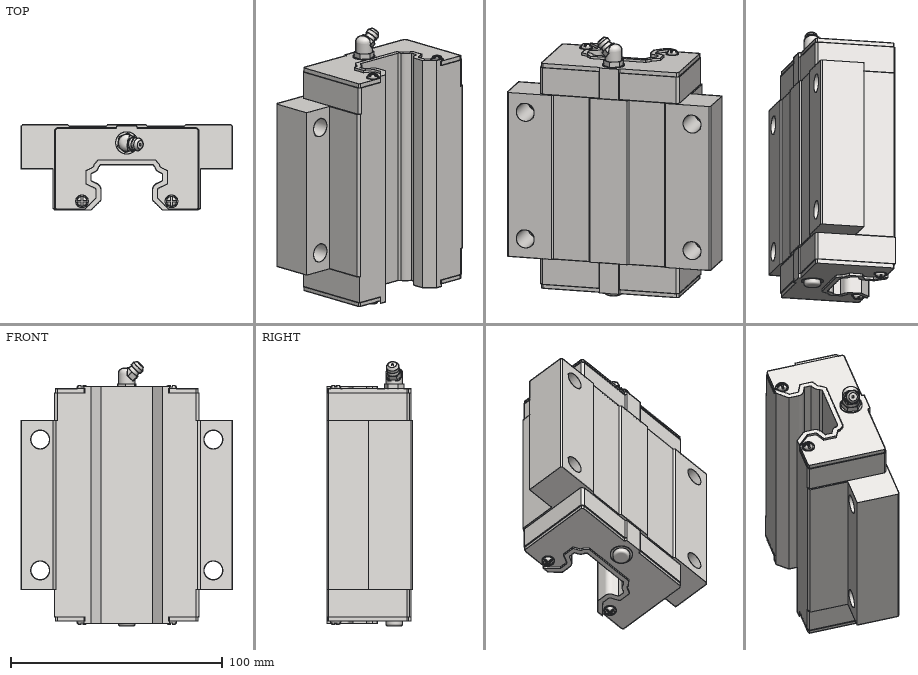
import cadquery as cq

HEIGHT = 40.5
FLANGE_HALF_WIDTH = 50.0
FLANGE_UNDERSIDE = 19.5
BODY_HALF_WIDTH = 35.0
BLOCK_HALF_LENGTH = 40.1
PAD_HEIGHT = 0.8
PAD_INNER_EDGE = 27.2
CENTRE_PAD_HALF_WIDTH = 9.8
CORNER_X = 1.4
CORNER_Y = 0.83

HOLE_X = 41.0
HOLE_Z = 31.0
HOLE_DIAMETER = 8.8

CAP_THICKNESS = 12.9
PLATE_THICKNESS = 2.0
CAP_HALF_WIDTH = 34.2
CAP_TOP = 39.1
CAP_BEVEL_X = 1.4
CAP_BEVEL_Y = 1.1
PLATE_INSET = 0.44
RIDGE_TOP = 39.8
RIDGE_HALF_WIDTH = 5.0
RIDGE_BEVEL = 0.4

CAP_FACE = BLOCK_HALF_LENGTH + CAP_THICKNESS
PLATE_FACE = CAP_FACE + PLATE_THICKNESS

CHANNEL_ROOF = 21.4
CHANNEL_ROOF_HALF_WIDTH = 12.4
CHANNEL_MOUTH_HALF_WIDTH = 16.9
CHANNEL_THROAT_HALF_WIDTH = 12.2
CHANNEL_GROOVE_HALF_WIDTH = 16.9
SEAL_WIDTH = 2.4
SEAL_HEIGHT = 1.1

SCREW_X = 21.2
SCREW_Y = 4.1
SCREW_RADIUS = 2.4
SCREW_HEIGHT = 1.6
SCREW_ROUNDING = 1.3
SCREW_SLOT_WIDTH = 0.8
SCREW_SLOT_DEPTH = 0.8
SCREW_SEAT_RADIUS = 3.0
SEAT_DEPTH = 0.3

PORT_Y = 31.8
PORT_SEAT_RADIUS = 5.3

PLUG_RADIUS = 4.0
PLUG_HEIGHT = 2.4
PLUG_ROUNDING = 1.1

NIPPLE_YAW = -8
ARM_TILT = 45
BASE_HEX_DIAMETER = 9.4
BASE_HEX_HEIGHT = 2.3
ELBOW_RADIUS = 4.0
ELBOW_HEIGHT = 9.8
ELBOW_ROUNDING = 2.6
ELBOW_NOTCH_X = 0.8
ELBOW_NOTCH_WIDTH = 6.8
ARM_ORIGIN_HEIGHT = 5.0
ARM_NECK_RADIUS = 2.9
ARM_HEX_DIAMETER = 7.3
ARM_HEX_START = 1.4
ARM_HEX_END = 4.1
HEAD_WAIST_RADIUS = 2.4
HEAD_WAIST_START = 5.8
HEAD_BACK = 6.0
HEAD_RADIUS = 3.0
HEAD_SHOULDER = 7.8
TIP_RADIUS = 2.0
TIP_END = 9.1
TIP_HOLE_DIAMETER = 1.0
TIP_HOLE_DEPTH = 1.9


def mirrored(half):
    """Close a right-hand outline with its mirror image about X = 0."""
    return half + [(-x, y) for x, y in reversed(half)]


def prism(points, z_from, z_to):
    return cq.Workplane("XY", origin=(0, 0, z_from)).polyline(points).close().extrude(z_to - z_from)


def channel_outline(z):
    """Dovetail rail channel, running out below Y = 0."""
    run_out = 5.0
    throat_low = (CHANNEL_THROAT_HALF_WIDTH, 4.8)
    throat_high = (CHANNEL_THROAT_HALF_WIDTH, 9.9)
    nose_middle = (12.9, 11.7)
    nose_end = (14.5, 12.8)
    groove_low = (CHANNEL_GROOVE_HALF_WIDTH, 13.9)
    groove_high = (CHANNEL_GROOVE_HALF_WIDTH, 17.2)
    shoulder_low = (15.4, 17.9)
    shoulder_middle = (14.2, 18.8)
    shoulder_high = (13.3, 20.4)
    roof = (CHANNEL_ROOF_HALF_WIDTH, CHANNEL_ROOF)
    mouth = (CHANNEL_MOUTH_HALF_WIDTH + run_out, -run_out)

    def left(point):
        return (-point[0], point[1])

    return (
        cq.Workplane("XY", origin=(0, 0, z))
        .moveTo(*mouth)
        .lineTo(*throat_low)
        .lineTo(*throat_high)
        .threePointArc(nose_middle, nose_end)
        .lineTo(*groove_low)
        .lineTo(*groove_high)
        .lineTo(*shoulder_low)
        .threePointArc(shoulder_middle, shoulder_high)
        .lineTo(*roof)
        .lineTo(*left(roof))
        .lineTo(*left(shoulder_high))
        .threePointArc(left(shoulder_middle), left(shoulder_low))
        .lineTo(*left(groove_high))
        .lineTo(*left(groove_low))
        .lineTo(*left(nose_end))
        .threePointArc(left(nose_middle), left(throat_high))
        .lineTo(*left(throat_low))
        .lineTo(*left(mouth))
        .close()
    )


def flanged_block():
    half = [
        (BODY_HALF_WIDTH - CORNER_X, 0),
        (BODY_HALF_WIDTH, CORNER_Y),
        (BODY_HALF_WIDTH, FLANGE_UNDERSIDE),
        (FLANGE_HALF_WIDTH, FLANGE_UNDERSIDE),
        (FLANGE_HALF_WIDTH, HEIGHT - PAD_HEIGHT),
        (FLANGE_HALF_WIDTH - PAD_HEIGHT, HEIGHT),
        (PAD_INNER_EDGE + PAD_HEIGHT, HEIGHT),
        (PAD_INNER_EDGE, HEIGHT - PAD_HEIGHT),
        (CENTRE_PAD_HALF_WIDTH, HEIGHT - PAD_HEIGHT),
        (CENTRE_PAD_HALF_WIDTH - PAD_HEIGHT, HEIGHT),
    ]
    block = prism(mirrored(half), -BLOCK_HALF_LENGTH, BLOCK_HALF_LENGTH)
    holes = (
        cq.Workplane("XZ")
        .rect(2 * HOLE_X, 2 * HOLE_Z, forConstruction=True)
        .vertices()
        .circle(HOLE_DIAMETER / 2)
        .extrude(-HEIGHT)
    )
    return block.cut(holes)


def cap_outline(inset, square_left_corner=False):
    side = CAP_HALF_WIDTH - inset
    flat = CAP_HALF_WIDTH - CAP_BEVEL_X
    top = CAP_TOP - inset
    half = [
        (flat, inset),
        (side, CORNER_Y),
        (side, CAP_TOP - CAP_BEVEL_Y),
        (flat, top),
        (RIDGE_HALF_WIDTH, top),
        (RIDGE_HALF_WIDTH - RIDGE_BEVEL, RIDGE_TOP),
    ]
    outline = mirrored(half)
    if square_left_corner:
        outline[-2:] = [(-side, inset)]
    return outline


def end_cap(square_left_corner):
    """Cap on the +Z end of the block; the lower -X corner may be left without its bevel."""
    return prism(cap_outline(0, square_left_corner), BLOCK_HALF_LENGTH, CAP_FACE)


def plate_and_seal():
    plate = prism(cap_outline(PLATE_INSET), CAP_FACE, PLATE_FACE)
    seats = (
        cq.Workplane("XY", origin=(0, 0, PLATE_FACE - SEAT_DEPTH))
        .pushPoints([(SCREW_X, SCREW_Y), (-SCREW_X, SCREW_Y)])
        .circle(SCREW_SEAT_RADIUS)
        .extrude(SEAT_DEPTH)
        .moveTo(0, PORT_Y)
        .circle(PORT_SEAT_RADIUS)
        .extrude(SEAT_DEPTH)
    )
    seal = channel_outline(CAP_FACE).offset2D(SEAL_WIDTH, "intersection")
    seal = seal.extrude(PLATE_THICKNESS + SEAL_HEIGHT)
    above_mouth = cq.Workplane("XY").box(
        2 * CAP_HALF_WIDTH, HEIGHT, 2 * (PLATE_FACE + SEAL_HEIGHT), centered=(True, False, True)
    )
    return plate.cut(seats).union(seal.intersect(above_mouth))


def screw(x):
    """Round-headed screw with a cross recess, standing on its seat in the cover plate."""
    foot = PLATE_FACE - SEAT_DEPTH
    head = cq.Workplane("XY", origin=(x, SCREW_Y, foot)).circle(SCREW_RADIUS)
    head = head.extrude(SCREW_HEIGHT + SEAT_DEPTH)
    head = head.faces(">Z").edges().fillet(SCREW_ROUNDING)
    recess_floor = PLATE_FACE + SCREW_HEIGHT - SCREW_SLOT_DEPTH
    for turn in (0, 90):
        slot = cq.Workplane("XY").rect(2 * SCREW_RADIUS, SCREW_SLOT_WIDTH).extrude(SCREW_SLOT_DEPTH)
        slot = slot.rotate((0, 0, 0), (0, 0, 1), turn)
        head = head.cut(slot.translate((x, SCREW_Y, recess_floor)))
    return head


def carriage():
    """Block, end caps, cover plates, seals and screws as one solid, with the channel cut through."""
    body = flanged_block()
    cover = plate_and_seal().union(screw(SCREW_X)).union(screw(-SCREW_X))
    body = body.union(end_cap(False)).union(cover)
    body = body.union(end_cap(True).mirror("XY")).union(cover.mirror("XY"))
    z_end = PLATE_FACE + SEAL_HEIGHT + SCREW_HEIGHT
    body = body.cut(channel_outline(-z_end).extrude(2 * z_end))
    return body.clean()


def plug():
    """Rounded plug closing the grease port at the -Z end."""
    knob = cq.Workplane("XY", origin=(0, PORT_Y, -PLATE_FACE + SEAT_DEPTH)).circle(PLUG_RADIUS)
    knob = knob.extrude(-PLUG_HEIGHT - SEAT_DEPTH)
    return knob.faces("<Z").edges().fillet(PLUG_ROUNDING)


def nipple_arm():
    """Arm along +Z from the origin: neck, spanner hexagon, waist and grease-gun head."""
    profile = [
        (0, 0),
        (ARM_NECK_RADIUS, 0),
        (ARM_NECK_RADIUS, ARM_HEX_END),
        (HEAD_WAIST_RADIUS, HEAD_WAIST_START),
        (HEAD_WAIST_RADIUS, HEAD_BACK),
        (HEAD_RADIUS, HEAD_BACK),
        (HEAD_RADIUS, HEAD_SHOULDER),
        (TIP_RADIUS, TIP_END),
        (0, TIP_END),
    ]
    arm = cq.Workplane("XZ").polyline(profile).close().revolve(360, (0, 0, 0), (0, 1, 0))
    hexagon = (
        cq.Workplane("XY", origin=(0, 0, ARM_HEX_START))
        .transformed(rotate=(0, 0, 90))
        .polygon(6, ARM_HEX_DIAMETER)
        .extrude(ARM_HEX_END - ARM_HEX_START)
    )
    return arm.union(hexagon).faces(">Z").workplane().hole(TIP_HOLE_DIAMETER, TIP_HOLE_DEPTH)


def placed_on_arm(shape):
    """Move a shape built along +Z onto the tilted arm axis."""
    return shape.rotate((0, 0, 0), (0, 1, 0), ARM_TILT).translate((0, 0, ARM_ORIGIN_HEIGHT))


def nipple_elbow():
    """Domed upright cylinder, notched where the arm hexagon sits against it."""
    elbow = cq.Workplane("XY").circle(ELBOW_RADIUS).extrude(ELBOW_HEIGHT)
    elbow = elbow.faces(">Z").edges().fillet(ELBOW_ROUNDING)
    reach = 2 * ELBOW_HEIGHT
    along_arm = cq.Workplane("XY", origin=(0, 0, ARM_HEX_START)).rect(ELBOW_NOTCH_WIDTH, reach).extrude(reach)
    arm_side = cq.Workplane("XY").box(reach, reach, 2 * reach, centered=(False, True, True))
    notch = placed_on_arm(along_arm).intersect(arm_side.translate((ELBOW_NOTCH_X, 0, 0)))
    return elbow.cut(notch)


def nipple():
    """Angled grease nipple on the port at the +Z end."""
    base = (
        cq.Workplane("XY", origin=(0, 0, -SEAT_DEPTH))
        .transformed(rotate=(0, 0, 90))
        .polygon(6, BASE_HEX_DIAMETER)
        .extrude(BASE_HEX_HEIGHT + SEAT_DEPTH)
    )
    whole = base.union(nipple_elbow()).union(placed_on_arm(nipple_arm()))
    return whole.rotate((0, 0, 0), (0, 0, 1), NIPPLE_YAW).translate((0, PORT_Y, PLATE_FACE))


result = cq.Compound.makeCompound([carriage().val(), nipple().val(), plug().val()])